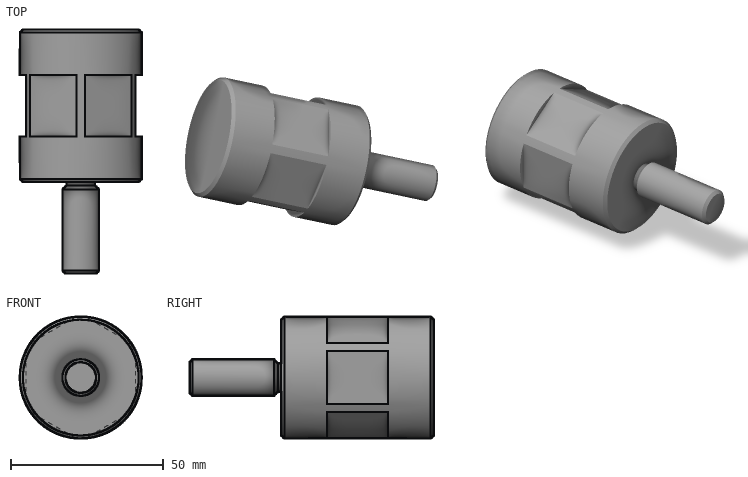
import cadquery as cq

total_length = 80.0
body_diameter = 40.0
body_length = 50.0
body_chamfer = 1.0

stud_diameter = 12.0
stud_tip_diameter = 10.1
neck_diameter = 9.4
neck_length = 1.1
stud_chamfer = (stud_diameter - stud_tip_diameter) / 2
neck_taper = (stud_diameter - neck_diameter) / 2

flat_count = 6
across_flats = 36.0
flat_length = 20.0

stud_length = total_length - body_length
body_radius = body_diameter / 2
stud_radius = stud_diameter / 2
neck_radius = neck_diameter / 2


def make_body():
    """Chamfered cylinder from Y = 0 to Y = body_length."""
    cylinder = cq.Workplane("XZ").circle(body_radius).extrude(-body_length)
    return cylinder.faces("<Y or >Y").chamfer(body_chamfer)


def make_stud():
    """Stud with a thin neck at the body and a chamfered tip."""
    return (
        cq.Workplane("XY")
        .moveTo(0, 0)
        .lineTo(neck_radius, 0)
        .lineTo(neck_radius, -neck_length)
        .lineTo(stud_radius, -neck_length - neck_taper)
        .lineTo(stud_radius, -stud_length + stud_chamfer)
        .lineTo(stud_tip_diameter / 2, -stud_length)
        .lineTo(0, -stud_length)
        .close()
        .revolve(360, (0, 0, 0), (0, 1, 0))
    )


def cut_flats(body):
    """Cut evenly spaced flats, the first one facing +X."""
    cutter = cq.Workplane("XY").box(
        body_radius, flat_length, body_diameter, centered=(False, True, True)
    ).translate((across_flats / 2, body_length / 2, 0))
    for index in range(flat_count):
        angle = index * 360 / flat_count
        body = body.cut(cutter.rotate((0, 0, 0), (0, 1, 0), angle))
    return body


result = cut_flats(make_body()).union(make_stud())